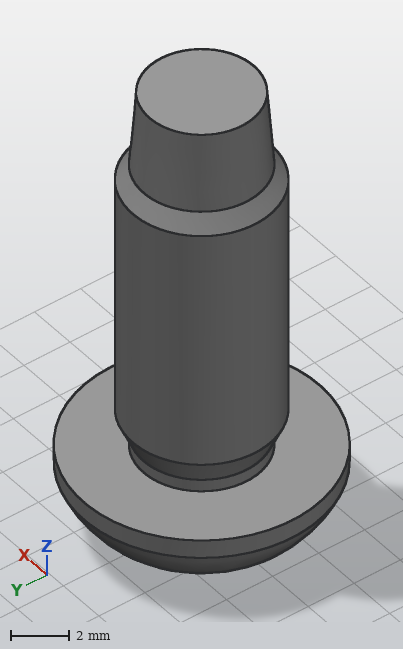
import cadquery as cq
import math

head_radius = 5.1
dome_flat_radius = 2.8
neck_radius = 2.5
body_radius = 3.0
tip_base_radius = 2.5
tip_end_radius = 2.25

dome_top = 2.5
head_top = 3.3
neck_top = 3.82
body_bottom = 4.92
body_top = 15.32
tip_bottom = 16.02
total_height = 19.3

dome_bulge = 0.3

chord_run = head_radius - dome_flat_radius
chord_length = math.hypot(chord_run, dome_top)
dome_mid = (
    (head_radius + dome_flat_radius) / 2 + dome_bulge * dome_top / chord_length,
    dome_top / 2 - dome_bulge * chord_run / chord_length,
)

profile = (
    cq.Workplane("XZ")
    .moveTo(0, 0)
    .lineTo(dome_flat_radius, 0)
    .threePointArc(dome_mid, (head_radius, dome_top))
    .lineTo(head_radius, head_top)
    .lineTo(neck_radius, head_top)
    .lineTo(neck_radius, neck_top)
    .lineTo(body_radius, body_bottom)
    .lineTo(body_radius, body_top)
    .lineTo(tip_base_radius, tip_bottom)
    .lineTo(tip_end_radius, total_height)
    .lineTo(0, total_height)
    .close()
)

result = profile.revolve(360, (0, 0, 0), (0, 1, 0))